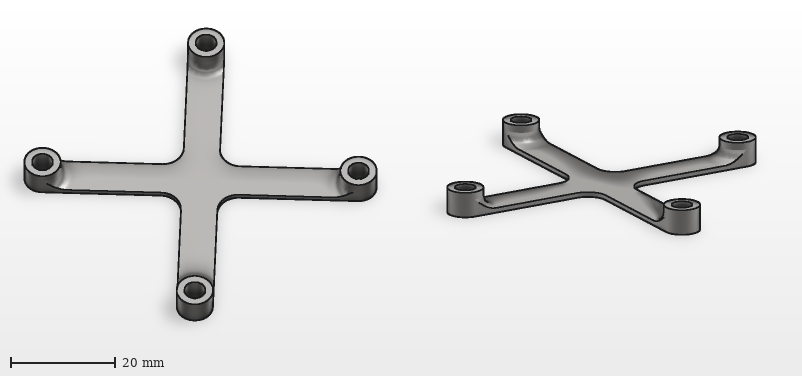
import cadquery as cq
import math

overall = 50.0
height = 5.0
plate_thickness = 1.0
boss_diameter = 7.0
hole_diameter = 4.0
boss_fillet = 2.5
crotch_fillet = 4.0

boss_radius = boss_diameter / 2
boss_offset = (overall - boss_diameter) / 2
arm_length = boss_offset * math.sqrt(2)
arm_width = boss_diameter
first_arm_angle = 45
arm_spacing = 90
arm_count = 4


def make_cross():
    """Flat X-shaped plate with rounded inner corners between the arms."""
    bar = cq.Workplane("XY").box(2 * arm_length, arm_width, plate_thickness, centered=(True, True, False))
    cross = bar.union(bar.rotate((0, 0, 0), (0, 0, 1), arm_spacing))
    box_half = 0.6 * arm_width
    inner_corners = cq.selectors.BoxSelector(
        (-box_half, -box_half, 0),
        (box_half, box_half, plate_thickness),
    )
    return cross.edges("|Z").edges(inner_corners).fillet(crotch_fillet)


def make_boss():
    """Boss at the end of the +X arm, with a concave flare confined to the arm width."""
    boss = cq.Workplane("XY").circle(boss_radius).extrude(height)
    flare_radius = boss_radius + boss_fillet
    flare_top = plate_thickness + boss_fillet
    arc_mid = boss_fillet * (1 - math.sqrt(0.5))
    flare = (
        cq.Workplane("XZ")
        .lineTo(flare_radius, 0)
        .lineTo(flare_radius, plate_thickness)
        .threePointArc((boss_radius + arc_mid, plate_thickness + arc_mid), (boss_radius, flare_top))
        .lineTo(0, flare_top)
        .close()
        .revolve(360, (0, 0, 0), (0, 1, 0))
    )
    arm_zone = cq.Workplane("XY").box(flare_radius, arm_width, height, centered=(False, True, False))
    inner_flare = flare.intersect(arm_zone.translate((-flare_radius, 0, 0)))
    return boss.union(inner_flare).translate((arm_length, 0, 0))


body = make_cross()
boss = make_boss()
for index in range(arm_count):
    body = body.union(boss.rotate((0, 0, 0), (0, 0, 1), index * arm_spacing))
body = body.rotate((0, 0, 0), (0, 0, 1), first_arm_angle)

holes = (
    cq.Workplane("XY")
    .rect(2 * boss_offset, 2 * boss_offset, forConstruction=True)
    .vertices()
    .circle(hole_diameter / 2)
    .extrude(height)
)
result = body.cut(holes)